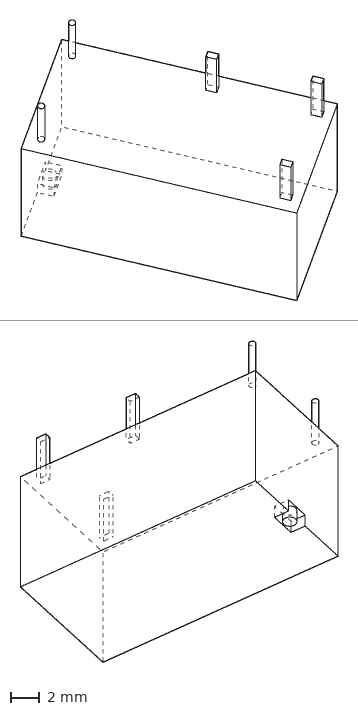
import cadquery as cq

body_length = 20.0
body_width = 10.0
body_height = 10.0

pin_height = 3.8
round_pin_diameter = 0.5
flat_pin_length = 0.8
flat_pin_width = 0.5
grid = 2.54
left_pin_x = -3.5 * grid
middle_pin_x = left_pin_x + 4 * grid
right_pin_x = left_pin_x + 7 * grid
pin_row_y = 1.5 * grid

round_pin_places = [(left_pin_x, -pin_row_y), (left_pin_x, pin_row_y)]
flat_pin_places = [
    (middle_pin_x, pin_row_y),
    (right_pin_x, -pin_row_y),
    (right_pin_x, pin_row_y),
]

notch_width = 2.0
notch_height = 1.0
post_diameter = 1.0
post_inset = 0.6
notch_depth = 2 * post_inset

end_x = -body_length / 2


def make_body():
    """Plain block with its bottom face on Z = 0."""
    return cq.Workplane("XY").box(body_length, body_width, body_height, centered=(True, True, False))


def make_notch():
    """Cutting block open to the -X end and to the bottom."""
    return (
        cq.Workplane("XY")
        .center(end_x, 0)
        .box(notch_depth, notch_width, notch_height, centered=(False, True, False))
    )


def make_post():
    """Round post hanging from the notch ceiling, flush with the bottom face."""
    return cq.Workplane("XY").center(end_x + post_inset, 0).circle(post_diameter / 2).extrude(notch_height)


def top_face():
    """Workplane on the top face of the body."""
    return cq.Workplane("XY").workplane(offset=body_height)


def make_round_pins():
    """Two round pins near the -X end."""
    return top_face().pushPoints(round_pin_places).circle(round_pin_diameter / 2).extrude(pin_height)


def make_flat_pins():
    """Three rectangular pins, one near the middle and two near the +X end."""
    return top_face().pushPoints(flat_pin_places).rect(flat_pin_length, flat_pin_width).extrude(pin_height)


body = make_body().cut(make_notch()).union(make_post())
result = body.union(make_round_pins()).union(make_flat_pins())